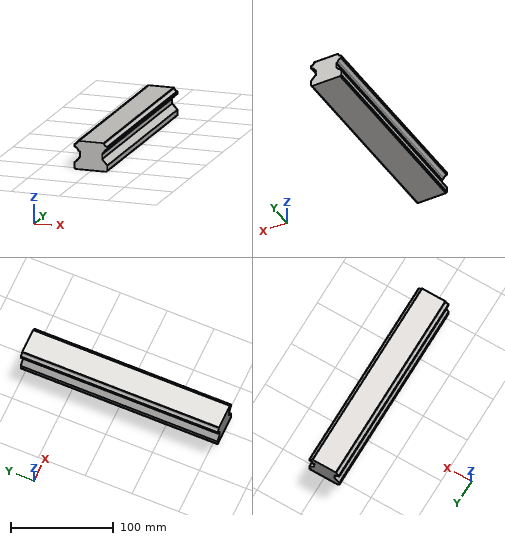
import cadquery as cq

width = 34.0
length = 210.0
height = 29.0
half_width = width / 2

foot_chamfer = 1.3
foot_height = 6.7

waist_half_width = 11.5
waist_bottom = 12.5
waist_top = 17.8

land_bottom = 22.7
land_top = 25.5
top_half_width = 13.5
groove_radius = 4.0
corner_break = 0.32

lower_groove_inner = top_half_width
lower_groove_bottom = waist_top + (lower_groove_inner - waist_half_width)


def rail_profile():
    """Closed cross-section: the right half drawn from the bottom up, then mirrored."""
    return (
        cq.Workplane("XZ")
        .lineTo(half_width - foot_chamfer, 0)
        .lineTo(half_width, foot_chamfer)
        .lineTo(half_width, foot_height)
        .lineTo(waist_half_width, waist_bottom)
        .lineTo(waist_half_width, waist_top)
        .lineTo(lower_groove_inner, lower_groove_bottom)
        .radiusArc((half_width, land_bottom), groove_radius)
        .lineTo(half_width, land_top)
        .radiusArc((top_half_width, height), groove_radius)
        .lineTo(0, height)
        .mirrorY()
    )


def break_head_corners(rail):
    """Chamfer every lengthwise corner from the top of the waist upwards."""
    head_bottom = (waist_bottom + waist_top) / 2
    head_region = cq.selectors.BoxSelector(
        (-width, -length, head_bottom),
        (width, length, height + corner_break),
    )
    return rail.edges("|Y").edges(head_region).chamfer(corner_break)


plain_rail = rail_profile().extrude(length / 2, both=True)
result = break_head_corners(plain_rail)